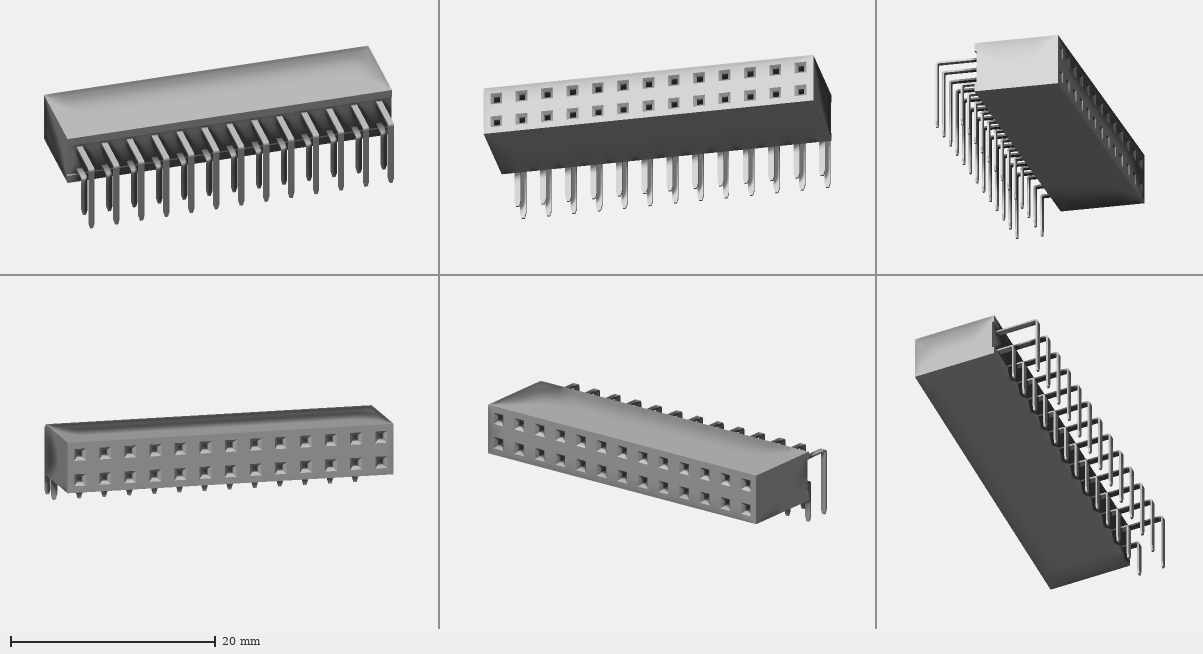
import cadquery as cq

housing_length = 33.02
pin_columns = 13
pin_rows = 2
pitch = housing_length / pin_columns

housing_depth = 8.5
housing_height = pin_rows * pitch
recess_depth = 0.23
recess_rim = 0.83

socket_mouth = 1.2
socket_throat = 0.6
funnel_depth = 0.3
socket_depth = 1.98

pin_thickness = 0.2
pin_width = socket_throat
outer_bend_radius = 0.3
inner_bend_radius = outer_bend_radius - pin_thickness
rear_reach = 12.68
pin_drop = 2.9
tip_width = 0.3
tip_length = 0.53
contact_length = 0.65


def column_y(column):
    """Y of a pin column, with the columns centred on the housing."""
    return (column + 0.5) * pitch - housing_length / 2


def row_z(row):
    """Z of a pin row, with row 0 at the bottom."""
    return (row + 0.5) * pitch


def make_housing():
    """Block with its mating face at X = 0 and a shallow full-length recess in the rear face."""
    block = cq.Workplane("XY").box(
        housing_depth, housing_length, housing_height, centered=(False, True, False)
    )
    recess_height = housing_height - 2 * recess_rim
    recess = (
        cq.Workplane("XY")
        .box(recess_depth, housing_length, recess_height, centered=(False, True, False))
        .translate((housing_depth - recess_depth, 0, recess_rim))
    )
    return block.cut(recess)


def make_socket(row, column):
    """Square blind hole with a funnel-shaped mouth, as a solid to cut away."""
    funnel = (
        cq.Workplane("YZ")
        .rect(socket_mouth, socket_mouth)
        .workplane(offset=funnel_depth)
        .rect(socket_throat, socket_throat)
        .loft(ruled=True)
    )
    throat = cq.Workplane("YZ").rect(socket_throat, socket_throat).extrude(socket_depth)
    return funnel.union(throat).translate((0, column_y(column), row_z(row)))


def make_pin(row, column):
    """Flat right-angle pin: contact inside the socket, bend behind the housing, tapered tip."""
    top = row_z(row) + pin_thickness / 2
    bottom = -pin_drop
    front = socket_depth - contact_length
    rear = rear_reach - (pin_rows - 1 - row) * pitch
    bend_x = rear - outer_bend_radius
    bend_z = top - outer_bend_radius

    strip = (
        cq.Workplane("XZ")
        .moveTo(front, top)
        .lineTo(bend_x, top)
        .radiusArc((rear, bend_z), outer_bend_radius)
        .lineTo(rear, bottom)
        .lineTo(rear - pin_thickness, bottom)
        .lineTo(rear - pin_thickness, bend_z)
        .radiusArc((bend_x, top - pin_thickness), -inner_bend_radius)
        .lineTo(front, top - pin_thickness)
        .close()
        .extrude(pin_width / 2, both=True)
    )

    taper_start = bottom + tip_length
    outline = (
        cq.Workplane("YZ")
        .moveTo(-tip_width / 2, bottom)
        .lineTo(tip_width / 2, bottom)
        .lineTo(pin_width / 2, taper_start)
        .lineTo(pin_width / 2, top)
        .lineTo(-pin_width / 2, top)
        .lineTo(-pin_width / 2, taper_start)
        .close()
        .extrude(rear)
    )
    return strip.intersect(outline).translate((0, column_y(column), 0))


positions = [(row, column) for row in range(pin_rows) for column in range(pin_columns)]
sockets = [make_socket(row, column).val() for row, column in positions]
pins = [make_pin(row, column).val() for row, column in positions]

connector = make_housing().val().cut(*sockets).fuse(*pins)
result = cq.Workplane(connector).solids()